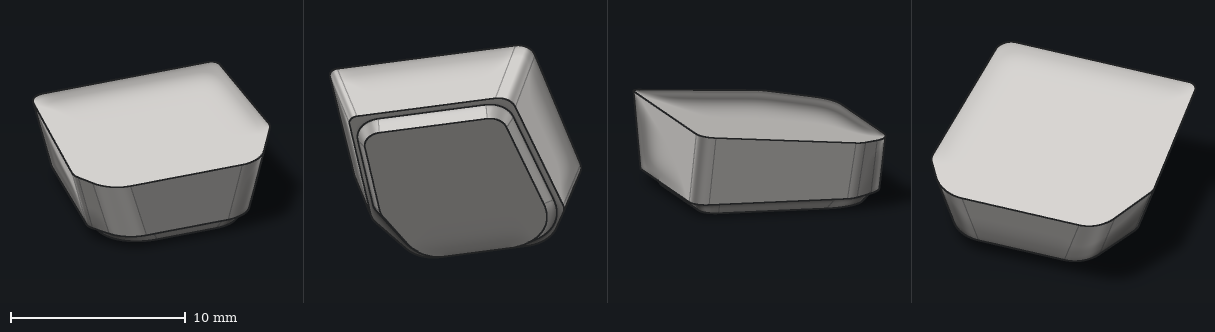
import cadquery as cq
import math

TOTAL_HEIGHT = 5.03
FOOT_HEIGHT = 0.73
TOP_SLOPE = 5.0
END_RELIEF = 15.0
RIGHT_FLAT_RELIEF = 13.0
FOOT_TAPER = 30.0
CUTTER_LENGTH = 40.0

UPPER_RIGHT = 50.0
UPPER_LEFT = UPPER_RIGHT + 90
LOWER_LEFT = UPPER_LEFT + 80
LOWER_RIGHT = UPPER_RIGHT - 90
BOTTOM_FLAT = 258.5
RIGHT_FLAT = 19.2
FOOT_RIGHT = 26.0

UPPER_LEFT_DISTANCE = 5.25
BODY_WALLS = [
    (UPPER_RIGHT, 5.24, END_RELIEF),
    (UPPER_LEFT, UPPER_LEFT_DISTANCE, 0.0),
    (LOWER_LEFT, 5.02, END_RELIEF),
    (BOTTOM_FLAT, 6.90, END_RELIEF),
    (LOWER_RIGHT, 6.25, 0.0),
    (RIGHT_FLAT, 5.88, RIGHT_FLAT_RELIEF),
]
BODY_CORNER_RADII = [0.5, 1.0, 1.0, 2.0, 2.0, 1.0]

FOOT_WALLS = [
    (UPPER_RIGHT, 4.99, FOOT_TAPER),
    (UPPER_LEFT, 4.85, FOOT_TAPER),
    (LOWER_LEFT, 4.66, FOOT_TAPER),
    (LOWER_RIGHT, 6.02, FOOT_TAPER),
    (FOOT_RIGHT, 5.31, FOOT_TAPER),
]
FOOT_CONE_CORNERS = [0, 1]
FOOT_CONE_RADIUS = 1.42
FOOT_ROUND_RADII = {2: 3.0, 3: 2.5, 4: 1.0}


def corner_points(walls, rise):
    """Plan corners between each wall and the next, at a height above the walls' reference level."""
    corners = []
    for index, wall in enumerate(walls):
        next_wall = walls[(index + 1) % len(walls)]
        angle_a, angle_b = math.radians(wall[0]), math.radians(next_wall[0])
        reach_a = wall[1] + rise * math.tan(math.radians(wall[2]))
        reach_b = next_wall[1] + rise * math.tan(math.radians(next_wall[2]))
        turn = math.sin(angle_b - angle_a)
        x = (reach_a * math.sin(angle_b) - reach_b * math.sin(angle_a)) / turn
        y = (reach_b * math.cos(angle_a) - reach_a * math.cos(angle_b)) / turn
        corners.append((x, y))
    return corners


def round_corner(solid, walls, index, rise, radius):
    """Fillet the edge between a wall and the next, running from the foot's upper level by rise."""
    x, y = corner_points(walls, rise / 2)[index]
    middle = (x, y, FOOT_HEIGHT + rise / 2)
    return solid.edges(cq.selectors.NearestToPointSelector(middle)).fillet(radius)


def leaning_prism(walls, base_height, rise):
    """Sharp-edged solid with flat walls, each leaning by its own angle."""
    lower = [(x, y, base_height) for x, y in corner_points(walls, 0)]
    upper = [(x, y, base_height + rise) for x, y in corner_points(walls, rise)]
    outlines = [lower, upper]
    for index in range(len(walls)):
        outlines.append([lower[index - 1], lower[index], upper[index], upper[index - 1]])
    faces = []
    for outline in outlines:
        points = [cq.Vector(*point) for point in outline]
        faces.append(cq.Face.makeFromWires(cq.Wire.makePolygon(points, close=True)))
    return cq.Workplane(obj=cq.Solid.makeSolid(cq.Shell.makeShell(faces)))


def make_body():
    rise = TOTAL_HEIGHT - FOOT_HEIGHT
    body = leaning_prism(BODY_WALLS, FOOT_HEIGHT, rise)
    for index, radius in enumerate(BODY_CORNER_RADII):
        body = round_corner(body, BODY_WALLS, index, rise, radius)
    return body.cut(make_top_cutter())


def make_top_cutter():
    """Wedge above the sloping top face, hinged on the top edge of the upper-left wall."""
    length = CUTTER_LENGTH
    drop = length * math.tan(math.radians(TOP_SLOPE))
    profile = [
        (-UPPER_LEFT_DISTANCE, TOTAL_HEIGHT),
        (length - UPPER_LEFT_DISTANCE, TOTAL_HEIGHT),
        (length - UPPER_LEFT_DISTANCE, TOTAL_HEIGHT - drop),
    ]
    wedge = cq.Workplane("XZ").polyline(profile).close().extrude(length / 2, both=True)
    return wedge.rotate((0, 0, 0), (0, 0, 1), LOWER_RIGHT)


def make_foot():
    """Outline at the body, drawn in towards the bottom by the taper."""
    corners = corner_points(FOOT_WALLS, 0)
    outline = cq.Sketch().polygon(corners + corners[:1])
    for index in FOOT_CONE_CORNERS:
        nearest = cq.selectors.NearestToPointSelector((*corners[index], 0))
        outline = outline.vertices(nearest).fillet(FOOT_CONE_RADIUS).reset()
    foot = (
        cq.Workplane("XY", origin=(0, 0, FOOT_HEIGHT))
        .placeSketch(outline)
        .extrude(-FOOT_HEIGHT, taper=FOOT_TAPER)
    )
    for index, radius in FOOT_ROUND_RADII.items():
        foot = round_corner(foot, FOOT_WALLS, index, -FOOT_HEIGHT, radius)
    return foot


result = make_body().union(make_foot())